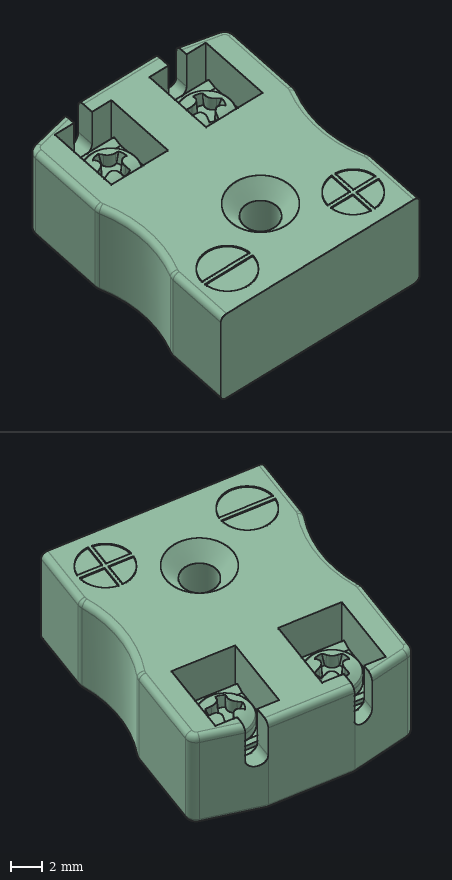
import cadquery as cq
import math

LENGTH = 20.5
WIDTH = 16.6
HEIGHT = 8.0
NOSE_HALF_WIDTH = 3.2
NOSE_SETBACK = 1.19
CORNER_RADIUS = 0.8
EDGE_RADIUS = 0.5

GRIP_X = 11.75
GRIP_RADIUS = 9.64
GRIP_DEPTH = 0.75
GRIP_BLEND_RADIUS = 1.0

HOLE_X = 14.5
HOLE_DIAMETER = 2.7
COUNTERSINK_DIAMETER = 5.0
COUNTERSINK_ANGLE = 90.0

MARK_X = 17.49
MARK_OFFSET_Y = 5.25
MARK_DIAMETER = 4.0
MARK_BAR_WIDTH = 0.29
MARK_DEPTH = 0.1

POCKET_START_X = 1.4
POCKET_LENGTH = 5.7
POCKET_WIDTH = 4.72
POCKET_DEPTH = 3.8
SLOT_WIDTH = 1.5
POCKET_X = POCKET_START_X + POCKET_LENGTH / 2
TERMINAL_OFFSET_Y = NOSE_HALF_WIDTH + SLOT_WIDTH / 2
POCKET_FLOOR_Z = HEIGHT - POCKET_DEPTH

PLATE_THICKNESS = 0.29
PLATE_FLAT_LENGTH = 3.81
WING_LENGTH = 0.72
WING_ANGLE = 20.0

HEAD_DIAMETER = 4.0
HEAD_RIM_HEIGHT = 0.82
HEAD_RIM_RADIUS = 0.3
DOME_RADIUS = 2.77
RECESS_ARM_WIDTH = 0.53
RECESS_DEPTH = 1.13
RECESS_TIP_RADIUS = 1.3
RECESS_FLOOR_RADIUS = 0.98
RECESS_CORNER_RADIUS = 0.6
RECESS_DRAFT = 4.0
RECESS_TURN = 15.0


def make_block():
    """Outer shape of the housing with all its rounded edges."""
    half = WIDTH / 2
    blank = (
        cq.Workplane("XY")
        .polyline([
            (LENGTH, -half),
            (LENGTH, half),
            (NOSE_SETBACK, half),
            (0, NOSE_HALF_WIDTH),
            (0, -NOSE_HALF_WIDTH),
            (NOSE_SETBACK, -half),
        ])
        .close()
        .extrude(HEIGHT)
    )
    nose_corners = blank.faces("<Y or >Y").edges("|Z").edges("<X")
    blank = nose_corners.fillet(CORNER_RADIUS)

    grip_centre_y = half - GRIP_DEPTH + GRIP_RADIUS
    grips = (
        cq.Workplane("XY")
        .pushPoints([(GRIP_X, grip_centre_y), (GRIP_X, -grip_centre_y)])
        .circle(GRIP_RADIUS)
        .extrude(HEIGHT)
    )
    blank = blank.cut(grips)
    grip_walls = blank.faces("%CYLINDER").faces(">X")
    blank = grip_walls.edges("|Z").fillet(GRIP_BLEND_RADIUS)
    return blank.faces("<Z or >Z").edges("not >X").fillet(EDGE_RADIUS)


def make_mark(offset_y, bar_directions):
    """Round recess, less one bar for each direction, given in degrees from X."""
    bottom = cq.Workplane("XY", origin=(MARK_X, offset_y, HEIGHT - MARK_DEPTH))
    mark = bottom.circle(MARK_DIAMETER / 2).extrude(MARK_DEPTH)
    for direction in bar_directions:
        bar = bottom.transformed(rotate=(0, 0, direction)).rect(MARK_DIAMETER, MARK_BAR_WIDTH)
        mark = mark.cut(bar.extrude(MARK_DEPTH))
    return mark


def make_terminal_pocket(offset_y):
    """Rectangular pocket and the wire slot that opens it to the end of the housing."""
    pocket = (
        cq.Workplane("XY", origin=(POCKET_X, offset_y, POCKET_FLOOR_Z))
        .rect(POCKET_LENGTH, POCKET_WIDTH)
        .extrude(POCKET_DEPTH)
    )
    radius = SLOT_WIDTH / 2
    slot = (
        cq.Workplane("YZ", origin=(0, offset_y, POCKET_FLOOR_Z))
        .moveTo(-radius, POCKET_DEPTH)
        .lineTo(-radius, radius)
        .threePointArc((0, 0), (radius, radius))
        .lineTo(radius, POCKET_DEPTH)
        .close()
        .extrude(POCKET_X)
    )
    return pocket.union(slot)


def make_housing():
    """Block with the mounting hole, polarity marks and terminal pockets cut into it."""
    housing = (
        make_block().faces(">Z").workplane(origin=(HOLE_X, 0, HEIGHT))
        .cskHole(HOLE_DIAMETER, COUNTERSINK_DIAMETER, COUNTERSINK_ANGLE)
    )
    housing = housing.cut(make_mark(MARK_OFFSET_Y, (0, 90)))
    housing = housing.cut(make_mark(-MARK_OFFSET_Y, (90,)))
    for side in (1, -1):
        housing = housing.cut(make_terminal_pocket(side * TERMINAL_OFFSET_Y))
    return housing


def make_clamp_plate(offset_y):
    """Bent strip on the pocket floor, as wide as the pocket, relieved where the screw head meets the wings."""
    angle = math.radians(WING_ANGLE)
    top_bend = PLATE_FLAT_LENGTH / 2
    bottom_bend = top_bend + PLATE_THICKNESS * math.tan(angle / 2)
    top_tip = (
        top_bend + WING_LENGTH * math.cos(angle),
        PLATE_THICKNESS + WING_LENGTH * math.sin(angle),
    )
    bottom_tip = (
        top_tip[0] + PLATE_THICKNESS * math.sin(angle),
        top_tip[1] - PLATE_THICKNESS * math.cos(angle),
    )
    right_half = [(bottom_bend, 0), bottom_tip, top_tip, (top_bend, PLATE_THICKNESS)]
    left_half = [(-x, z) for x, z in reversed(right_half)]
    strip = (
        cq.Workplane("XZ", origin=(POCKET_X, offset_y, POCKET_FLOOR_Z))
        .polyline(right_half + left_half)
        .close()
        .extrude(POCKET_WIDTH / 2, both=True)
    )
    head_relief = (
        cq.Workplane("XY", origin=(POCKET_X, offset_y, POCKET_FLOOR_Z + PLATE_THICKNESS))
        .circle(HEAD_DIAMETER / 2)
        .extrude(HEAD_RIM_HEIGHT)
    )
    return strip.cut(head_relief)


def turned(x, y, degrees):
    """The point (x, y) turned about the origin."""
    angle = math.radians(degrees)
    return (
        x * math.cos(angle) - y * math.sin(angle),
        x * math.sin(angle) + y * math.cos(angle),
    )


def make_cross_recess(apex_z, dome_centre_z):
    """Tapered cross with rounded inner corners, sunk from the apex of the dome."""
    floor_z = apex_z - RECESS_DEPTH
    reach = HEAD_DIAMETER / 2
    half_arm = RECESS_ARM_WIDTH / 2
    arm_root = half_arm + RECESS_CORNER_RADIUS
    outline = cq.Workplane("XY", origin=(0, 0, floor_z)).moveTo(arm_root, -half_arm)
    for direction in (0, 90, 180, 270):
        outline = (
            outline.lineTo(*turned(reach, -half_arm, direction))
            .lineTo(*turned(reach, half_arm, direction))
            .lineTo(*turned(arm_root, half_arm, direction))
            .radiusArc(turned(half_arm, arm_root, direction), RECESS_CORNER_RADIUS)
        )
    cross = outline.close().extrude(RECESS_DEPTH, taper=-RECESS_DRAFT)

    tip_z = dome_centre_z + math.sqrt(DOME_RADIUS**2 - RECESS_TIP_RADIUS**2)
    tip_slope = (RECESS_TIP_RADIUS - RECESS_FLOOR_RADIUS) / (tip_z - floor_z)
    arm_ends = cq.Solid.makeCone(
        RECESS_FLOOR_RADIUS,
        RECESS_FLOOR_RADIUS + tip_slope * RECESS_DEPTH,
        RECESS_DEPTH,
        pnt=cq.Vector(0, 0, floor_z),
    )
    return cross.intersect(cq.Workplane(arm_ends))


def make_screw(offset_y, turn):
    """Domed screw head, standing on the clamp plate, with a cross recess."""
    head_radius = HEAD_DIAMETER / 2
    dome_centre_z = HEAD_RIM_HEIGHT - math.sqrt(DOME_RADIUS**2 - head_radius**2)
    apex_z = dome_centre_z + DOME_RADIUS
    head = (
        cq.Workplane("XZ")
        .lineTo(head_radius, 0)
        .lineTo(head_radius, HEAD_RIM_HEIGHT)
        .radiusArc((0, apex_z), -DOME_RADIUS)
        .close()
        .revolve(360, (0, 0, 0), (0, 1, 0))
    )
    head = head.faces("%CYLINDER").edges(">Z").fillet(HEAD_RIM_RADIUS)
    head = head.cut(make_cross_recess(apex_z, dome_centre_z))
    return (
        head.rotate((0, 0, 0), (0, 0, 1), turn)
        .translate((POCKET_X, offset_y, POCKET_FLOOR_Z + PLATE_THICKNESS))
    )


housing = make_housing()
clamp_plates = []
screws = []
for side in (1, -1):
    clamp_plates.append(make_clamp_plate(side * TERMINAL_OFFSET_Y).val())
    screws.append(make_screw(side * TERMINAL_OFFSET_Y, -side * RECESS_TURN).val())

result = cq.Compound.makeCompound([housing.val(), *clamp_plates, *screws])